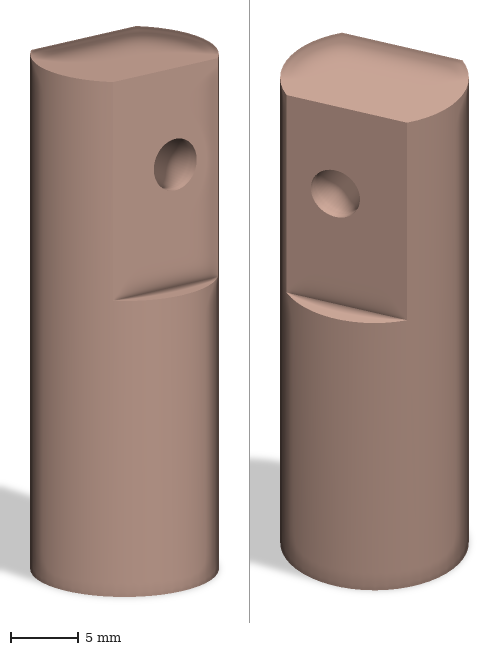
import cadquery as cq

pin_diameter = 14.0
pin_height = 40.0

tongue_thickness = 10.0
tongue_height = 17.0

hole_diameter = 4.0
hole_depth_below_top = 7.5
hole_offset_y = 0.9


def make_pin():
    return cq.Workplane("XY").circle(pin_diameter / 2).extrude(pin_height)


def make_flat_cutter(side):
    """Block that removes the round side beyond one face of the tongue."""
    block_size = pin_diameter
    center_x = side * (tongue_thickness + block_size) / 2
    return (
        cq.Workplane("XY", origin=(center_x, 0, pin_height - tongue_height))
        .rect(block_size, block_size)
        .extrude(tongue_height)
    )


def make_cross_hole():
    hole_z = pin_height - hole_depth_below_top
    return (
        cq.Workplane("YZ", origin=(0, hole_offset_y, hole_z))
        .circle(hole_diameter / 2)
        .extrude(tongue_thickness, both=True)
    )


result = make_pin()
for side in (-1, 1):
    result = result.cut(make_flat_cutter(side))
result = result.cut(make_cross_hole())